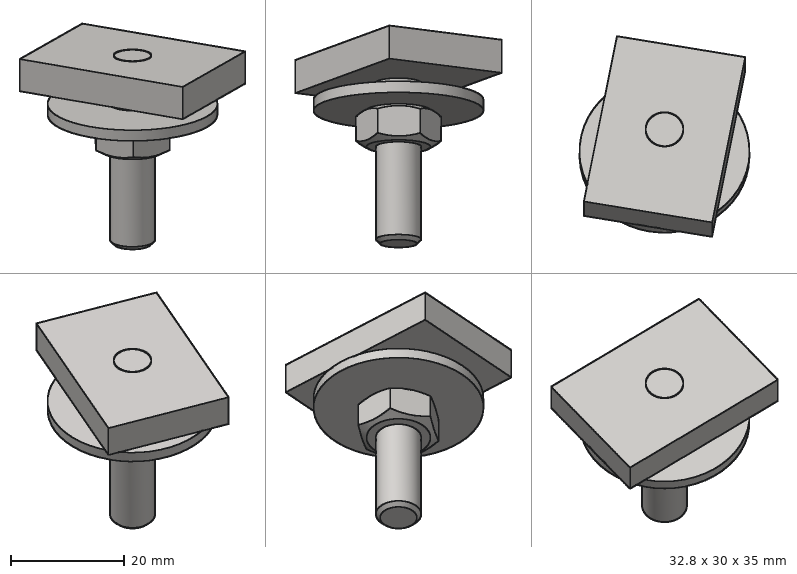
import cadquery as cq
import math

total_height = 35.0
plate_length = 32.8
plate_width = 23.0
plate_thickness = 6.0

rod_diameter = 8.0
tip_diameter = 6.5
tip_chamfer_height = 0.77

groove_inner_diameter = 6.58
groove_outer_diameter = 6.7
groove_depth = 0.1

washer_diameter = 30.0
washer_thickness = 2.0
washer_gap = 3.0

nut_across_flats = 13.0
nut_height = 6.5
nut_chamfer_diameter = 11.27
nut_chamfer_angle = 30.0

plate_bottom = total_height - plate_thickness
washer_bottom = plate_bottom - washer_gap - washer_thickness
nut_bottom = washer_bottom - nut_height


def disc(diameter, bottom, height):
    """Upright cylinder on the Z axis."""
    return cq.Workplane("XY").workplane(offset=bottom).circle(diameter / 2).extrude(height)


def make_plate():
    plate = (
        cq.Workplane("XY")
        .workplane(offset=plate_bottom)
        .rect(plate_length, plate_width)
        .extrude(plate_thickness)
    )
    groove = (
        cq.Workplane("XY")
        .workplane(offset=total_height - groove_depth)
        .circle(groove_outer_diameter / 2)
        .circle(groove_inner_diameter / 2)
        .extrude(groove_depth)
    )
    return plate.cut(groove)


def make_rod():
    rod = disc(rod_diameter, 0, plate_bottom)
    tip_inset = (rod_diameter - tip_diameter) / 2
    return rod.faces("<Z").chamfer(tip_chamfer_height, tip_inset)


def make_nut():
    """Hexagon with corners on the X axis, both ends trimmed by cones."""
    across_corners = nut_across_flats / math.cos(math.radians(30))
    hexagon = (
        cq.Workplane("XY")
        .workplane(offset=nut_bottom)
        .polygon(6, across_corners)
        .extrude(nut_height)
    )
    end_radius = nut_chamfer_diameter / 2
    corner_radius = across_corners / 2
    cone_height = (corner_radius - end_radius) * math.tan(math.radians(nut_chamfer_angle))
    envelope = (
        cq.Workplane("XZ")
        .moveTo(0, nut_bottom)
        .lineTo(end_radius, nut_bottom)
        .lineTo(corner_radius, nut_bottom + cone_height)
        .lineTo(corner_radius, washer_bottom - cone_height)
        .lineTo(end_radius, washer_bottom)
        .lineTo(0, washer_bottom)
        .close()
        .revolve(360, (0, 0), (0, 1))
    )
    return hexagon.intersect(envelope)


washer = disc(washer_diameter, washer_bottom, washer_thickness)
result = make_plate().union(make_rod()).union(washer).union(make_nut())